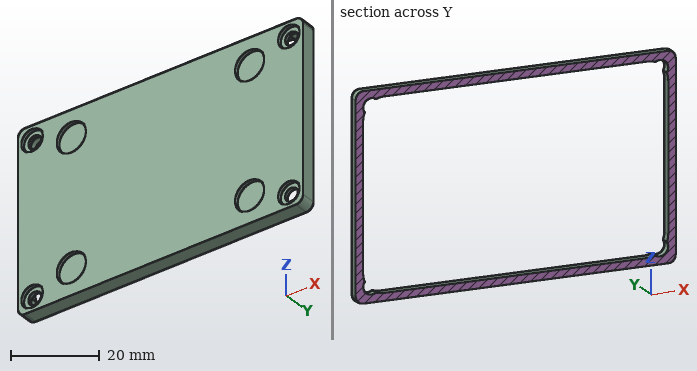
import cadquery as cq
length = 80.0
thickness = 4.0
height = 50.0
corner_radius = 2.0

rim_thickness = 2.0
floor_thickness = 2.0
hollow_corner_radius = 5.0

hole_inset = 4.0
hole_diameter = 3.5
counterbore_diameter = 6.0
counterbore_depth = thickness / 4
clearance_diameter = 2 * (hole_inset - rim_thickness)

pocket_diameter = 8.2
pocket_spacing_x = 50.0
pocket_spacing_z = 35.0
pocket_depth = thickness / 4


def front_face_pattern(body, spacing_x, spacing_z):
    """Select four points in a centred rectangle on the front face."""
    face = body.faces("<Y").workplane(centerOption="CenterOfBoundBox")
    return face.rect(spacing_x, spacing_z, forConstruction=True).vertices()


plate = cq.Workplane("XY").box(length, thickness, height)
plate = plate.edges("|Y").fillet(corner_radius)

hollow = cq.Workplane("XY").box(length - 2 * rim_thickness, thickness, height - 2 * rim_thickness)
hollow = hollow.edges("|Y").fillet(hollow_corner_radius)
tray = plate.cut(hollow.translate((0, floor_thickness, 0)))

hole_spacing_x = length - 2 * hole_inset
hole_spacing_z = height - 2 * hole_inset
drilled_tray = front_face_pattern(tray, hole_spacing_x, hole_spacing_z).cboreHole(
    hole_diameter, counterbore_diameter, counterbore_depth
)

screw_clearance = (
    cq.Workplane("XZ", origin=(0, thickness / 2, 0))
    .rect(hole_spacing_x, hole_spacing_z, forConstruction=True)
    .vertices()
    .circle(clearance_diameter / 2)
    .extrude(thickness - floor_thickness)
)
drilled_tray = drilled_tray.cut(screw_clearance)

result = front_face_pattern(drilled_tray, pocket_spacing_x, pocket_spacing_z).hole(
    pocket_diameter, pocket_depth
)